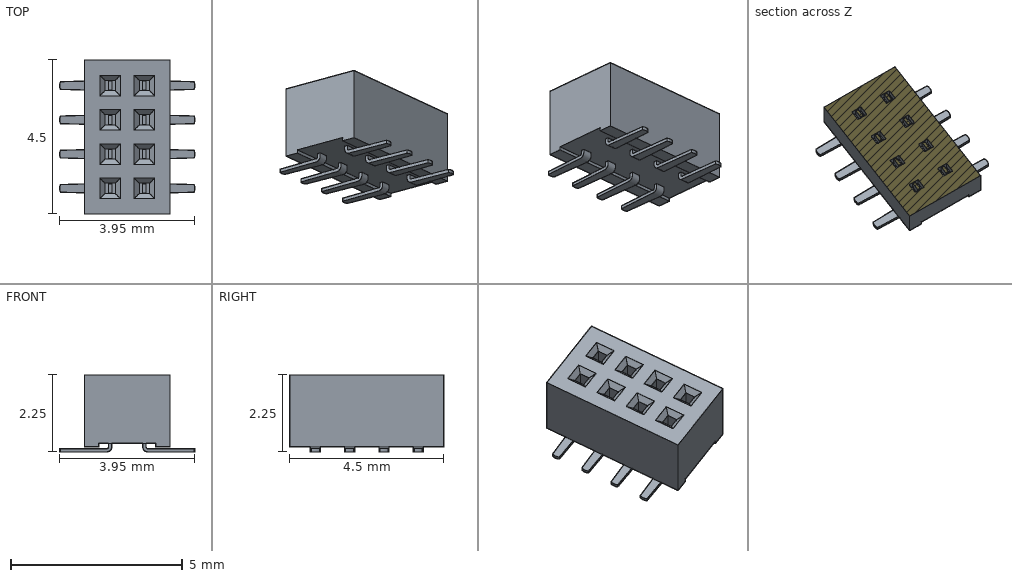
import cadquery as cq
import math

rows = 4
end_margin = 0.75
pitch = 1.0
body_width = 2.5
body_length = (rows - 1) * pitch + 2 * end_margin
overall_height = 2.25
standoff = 0.15
channel_depth = 0.10
foot_width = 0.42

mouth_size = 0.60
throat_size = 0.30
funnel_angle = 45
socket_depth = 1.50

lead_thickness = 0.10
lead_width = 0.30
tip_width = 0.23
tip_bulge = 0.025
lead_span = 3.95
bend_radius = 0.05
blade_width = 0.26
blade_height = 0.40

body_height = overall_height - standoff
channel_top = standoff + channel_depth
socket_floor = overall_height - socket_depth
funnel_depth = (mouth_size - throat_size) / 2 / math.tan(math.radians(funnel_angle))
throat_top = overall_height - funnel_depth
contact_x = pitch / 2
tip_x = lead_span / 2
row_positions = [(row - (rows - 1) / 2) * pitch for row in range(rows)]


def make_housing():
    """Block with a full-length channel in its underside."""
    base = cq.Workplane("XY").workplane(offset=standoff)
    block = base.rect(body_width, body_length).extrude(body_height)
    channel = base.rect(body_width - 2 * foot_width, body_length).extrude(channel_depth)
    return block.cut(channel)


def make_socket():
    """Square funnel leading into a straight square hole, centred on the Z axis."""
    funnel = (
        cq.Workplane("XY")
        .workplane(offset=overall_height)
        .rect(mouth_size, mouth_size)
        .extrude(-funnel_depth, taper=funnel_angle)
    )
    throat = (
        cq.Workplane("XY")
        .workplane(offset=socket_floor)
        .rect(throat_size, throat_size)
        .extrude(throat_top - socket_floor)
    )
    return funnel.union(throat)


def make_lead():
    """Bent strip on the +X side: a post down from the channel, then a foot tapering to a rounded tip."""
    outer_radius = bend_radius + lead_thickness
    post_inside = contact_x - lead_thickness / 2
    post_outside = contact_x + lead_thickness / 2
    bend_end = post_outside + bend_radius
    strip = (
        cq.Workplane("XZ")
        .moveTo(post_inside, channel_top)
        .lineTo(post_inside, outer_radius)
        .radiusArc((bend_end, 0), -outer_radius)
        .lineTo(tip_x, 0)
        .lineTo(tip_x, lead_thickness)
        .lineTo(bend_end, lead_thickness)
        .radiusArc((post_outside, outer_radius), bend_radius)
        .lineTo(post_outside, channel_top)
        .close()
        .extrude(lead_width / 2, both=True)
    )
    corner_x = tip_x - tip_bulge
    plan = (
        cq.Workplane("XY")
        .moveTo(post_inside, -lead_width / 2)
        .lineTo(bend_end, -lead_width / 2)
        .lineTo(corner_x, -tip_width / 2)
        .threePointArc((tip_x, 0), (corner_x, tip_width / 2))
        .lineTo(bend_end, lead_width / 2)
        .lineTo(post_inside, lead_width / 2)
        .close()
        .extrude(channel_top)
    )
    return strip.intersect(plan)


def make_blade():
    """Contact blade standing on the socket floor, centred on the Z axis."""
    return (
        cq.Workplane("XY")
        .workplane(offset=socket_floor)
        .rect(lead_thickness, blade_width)
        .extrude(blade_height)
    )


socket = make_socket()
blade = make_blade()
right_lead = make_lead()
left_lead = right_lead.mirror("YZ")

result = make_housing()
for y in row_positions:
    for x in (-contact_x, contact_x):
        result = result.cut(socket.translate((x, y, 0)))
        result = result.union(blade.translate((x, y, 0)))
    for lead in (left_lead, right_lead):
        result = result.union(lead.translate((0, y, 0)))